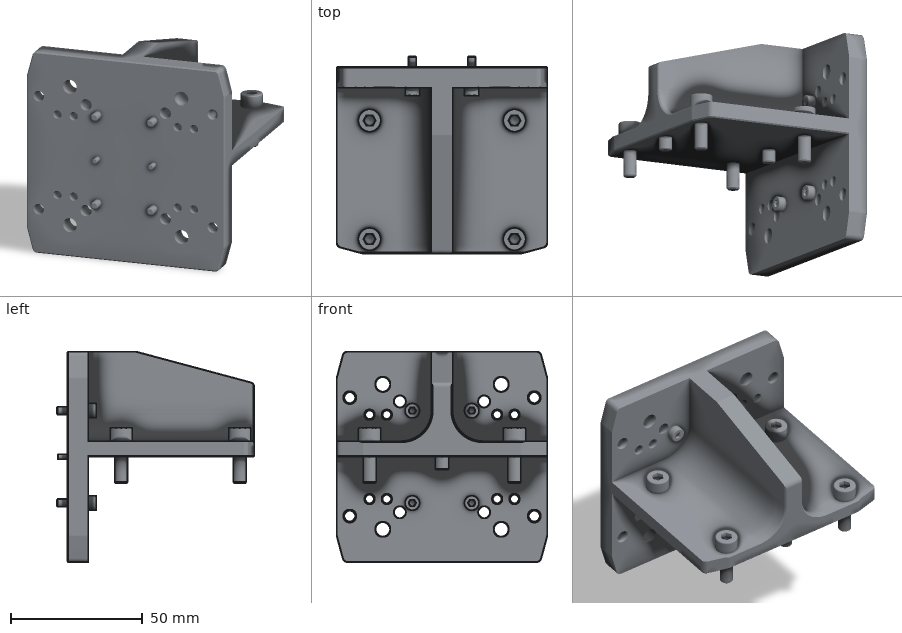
import cadquery as cq
import math

width = 80.0
depth = 71.0
plate_thickness = 8.0
shelf_thickness = 6.0
rib_thickness = 8.0
rib_flat_length = 26.0
rib_root_radius = 11.5

slant_angle = 15
slant = math.tan(math.radians(slant_angle))
corner_length = 10.0
corner_inset = corner_length * slant
corner_radius = 2.0
edge_chamfer = 0.5

half_width = width / 2
plate_front = -plate_thickness
plate_middle = -plate_thickness / 2
selection_margin = 0.8

clearance_large = 5.5
clearance_large_mouth = 5.8
clearance_small = 4.5
large_tap = 4.2
large_tap_mouth = 5.0
small_tap = 3.3
small_tap_mouth = 4.0
plate_holes = [
    (clearance_large, clearance_large_mouth, 22.5, 27.5),
    (clearance_small, clearance_small, 16.0, 21.0),
    (large_tap, large_tap_mouth, 35.0, 22.5),
    (small_tap, small_tap_mouth, 27.5, 16.0),
    (small_tap, small_tap_mouth, 21.0, 16.0),
]

shelf_screw_x = 27.5
shelf_screw_rows = (-20.5, -65.5)
plate_screw_x = 11.3
plate_screw_z = 17.5
shelf_pin_diameter = 5.0
shelf_pin_reach = 5.0
plate_pin_diameter = 2.0
plate_pin_reach = 3.5
pin_chamfer = 0.4
plate_pin_chamfer = 0.2
screw_tip_chamfer = 0.5


def mirrored(x):
    return (-x, x)


def make_plate():
    inset_x = half_width - corner_inset
    shoulder_z = half_width - corner_length
    outline = [
        (-inset_x, -half_width), (inset_x, -half_width),
        (half_width, -shoulder_z), (half_width, shoulder_z),
        (inset_x, half_width), (-inset_x, half_width),
        (-half_width, shoulder_z), (-half_width, -shoulder_z),
    ]
    plate = cq.Workplane("XZ").polyline(outline).close().extrude(plate_thickness)
    plate = plate.edges("|Y").fillet(corner_radius)
    return plate.faces(">Y").edges().chamfer(edge_chamfer)


def make_tee():
    """Shelf and full-height rib, running forward from inside the plate."""
    half_rib = rib_thickness / 2
    root_x = half_rib + rib_root_radius
    root_z = shelf_thickness + rib_root_radius
    bulge = rib_root_radius * (1 - math.sqrt(0.5))
    profile = (
        cq.Workplane("XZ", origin=(0, plate_middle, 0))
        .moveTo(-half_width, 0)
        .lineTo(half_width, 0)
        .lineTo(half_width, shelf_thickness)
        .lineTo(root_x, shelf_thickness)
        .threePointArc((half_rib + bulge, shelf_thickness + bulge), (half_rib, root_z))
        .lineTo(half_rib, half_width)
        .lineTo(-half_rib, half_width)
        .lineTo(-half_rib, root_z)
        .threePointArc((-half_rib - bulge, shelf_thickness + bulge), (-root_x, shelf_thickness))
        .lineTo(-half_width, shelf_thickness)
        .close()
    )
    tee = profile.extrude(depth + plate_middle)
    inner_x = half_width - selection_margin
    upper_front_edges = cq.selectors.BoxSelector(
        (-inner_x, -depth - selection_margin, selection_margin),
        (inner_x, -depth + selection_margin, inner_x),
    )
    return tee.edges(upper_front_edges).chamfer(edge_chamfer)


def make_shelf_envelope():
    """Plan outline of the shelf with slanted front corners and a chamfered underside."""
    shoulder_x = half_width - corner_length
    shoulder_y = corner_inset - depth
    outline = [
        (-half_width, plate_middle), (half_width, plate_middle),
        (half_width, shoulder_y), (shoulder_x, -depth),
        (-shoulder_x, -depth), (-half_width, shoulder_y),
    ]
    envelope = cq.Workplane("XY").polyline(outline).close().extrude(half_width)
    envelope = envelope.edges("|Z and (not >Y)").fillet(corner_radius)
    return envelope.faces("<Z").edges().chamfer(edge_chamfer)


def make_rib_envelope():
    """Side outline of the rib with a sloping top."""
    nose_z = half_width - (depth - rib_flat_length) * slant
    outline = [
        (plate_middle, 0), (plate_middle, half_width), (-rib_flat_length, half_width),
        (-depth, nose_z), (-depth, 0),
    ]
    envelope = cq.Workplane("YZ").polyline(outline).close().extrude(half_width, both=True)
    slope_ends = cq.selectors.BoxSelector(
        (-selection_margin, -depth - selection_margin, nose_z - selection_margin),
        (selection_margin, -rib_flat_length + selection_margin, half_width + selection_margin),
    )
    return envelope.edges("|X").edges(slope_ends).fillet(corner_radius)


def drill_plate(body):
    for diameter, mouth, x, z in plate_holes:
        quadrants = [(sx, sz) for sx in mirrored(x) for sz in mirrored(z)]
        holes = cq.Workplane("XZ").pushPoints(quadrants).circle(diameter / 2).extrude(plate_thickness)
        body = body.cut(holes)
        if mouth > diameter:
            sink_depth = (mouth - diameter) / 2
            for qx, qz in quadrants:
                sink = cq.Solid.makeCone(
                    mouth / 2, diameter / 2, sink_depth,
                    pnt=cq.Vector(qx, plate_front, qz), dir=cq.Vector(0, 1, 0),
                )
                body = body.cut(cq.Workplane(sink))
    return body


def make_pin(diameter, length, tip_chamfer):
    """Pin hanging down from the origin, chamfered at its tip."""
    pin = cq.Workplane("XY").circle(diameter / 2).extrude(-length)
    return pin.faces("<Z").chamfer(tip_chamfer)


def make_screw(diameter, length, head_diameter, head_height, head_round, socket_flats):
    """Socket head screw pointing down, its head seated on Z = 0."""
    head = cq.Workplane("XY").circle(head_diameter / 2).extrude(head_height)
    head = head.faces(">Z").edges().fillet(head_round)
    socket_corners = socket_flats / math.cos(math.radians(30))
    socket_floor = head_height / 2
    socket = (
        cq.Workplane("XY", origin=(0, 0, socket_floor))
        .polygon(6, socket_corners).extrude(head_height)
    )
    point_depth = socket_flats / 2 * math.tan(math.radians(30))
    point = cq.Solid.makeCone(
        socket_flats / 2, 0, point_depth,
        pnt=cq.Vector(0, 0, socket_floor), dir=cq.Vector(0, 0, -1),
    )
    return head.cut(socket).cut(cq.Workplane(point)).union(make_pin(diameter, length, screw_tip_chamfer))


def point_backward(fastener):
    """Turn a downward fastener so that its tip points along +Y."""
    return fastener.rotate((0, 0, 0), (1, 0, 0), 90)


body = make_tee().intersect(make_shelf_envelope()).intersect(make_rib_envelope())
body = drill_plate(body.union(make_plate()))

shelf_screw = make_screw(
    diameter=5.0, length=16.0, head_diameter=8.5, head_height=5.0, head_round=0.5, socket_flats=4.0
)
shelf_pin = make_pin(shelf_pin_diameter, shelf_pin_reach, pin_chamfer)
for y in shelf_screw_rows:
    body = body.union(shelf_pin.translate((0, y, 0)))
    for x in mirrored(shelf_screw_x):
        body = body.union(shelf_screw.translate((x, y, shelf_thickness)))

plate_screw = point_backward(make_screw(
    diameter=3.0, length=12.0, head_diameter=5.5, head_height=3.0, head_round=0.3, socket_flats=2.5
))
plate_pin = point_backward(make_pin(plate_pin_diameter, plate_pin_reach, plate_pin_chamfer))
for x in mirrored(plate_screw_x):
    body = body.union(plate_pin.translate((x, 0, 0)))
    for z in mirrored(plate_screw_z):
        body = body.union(plate_screw.translate((x, plate_front, z)))

result = body